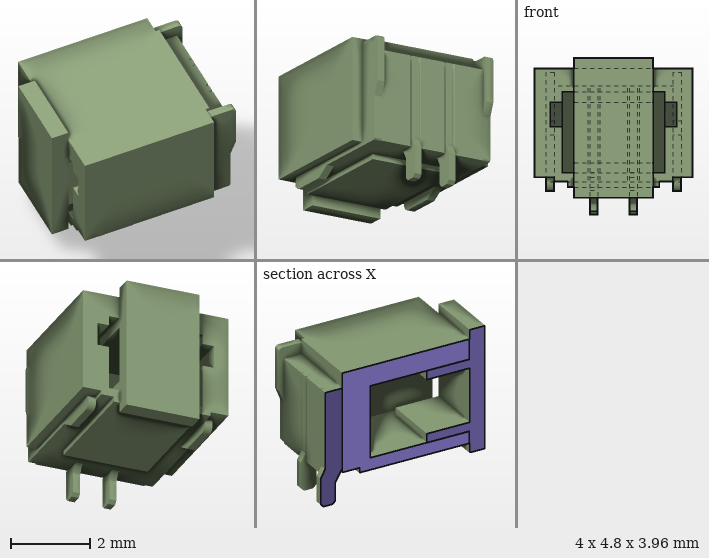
import cadquery as cq
import math


shell_width = 4.0
shell_depth = 3.6
shell_bottom = 0.94
shell_top = 3.695
core_width = 2.995
core_depth = 3.7
core_bottom = 0.835
ledge_back = 4.2
ledge_top = 3.265
rib_width = 2.315
rib_depth = 3.2
rib_bottom = 0.695

cavity_width = 2.59
cavity_bottom = 1.055
cavity_top = 3.1
cavity_depth = 2.88
notch_width = 3.205
notch_depth = 1.92
notch_bottom = 2.22
notch_top = 2.84

pin_pitch = 1.0
pin_width = 0.195
pin_positions = [-pin_pitch / 2, pin_pitch / 2]
pin_front = core_depth
pin_top = ledge_top
tail_front = 3.89
tail_back = 4.335
tail_front_knee = 0.625
tail_back_knee = 0.83
leg_front_knee = 0.945
leg_back_knee = 1.07
tip_chamfer = 0.09
lead_in_width = 0.05
lead_in_depth = 0.1

nail_width = 0.21
nail_back = 4.345
nail_top = 3.595
nail_corner_radius = 0.095
nail_foot_radius = 0.065
nail_step_top = 2.375
nail_step_bottom = 2.015
foot_bottom = 0.595
foot_end = 0.335
foot_radius = 0.195
foot_taper_start = 1.875
foot_taper_end = 1.465

cap_width = 2.0
cap_thickness = 0.455
cap_bottom = 0.425
cap_top = 3.96
tongue_length = 1.245
tongue_thickness = 0.255


def block(width, y_min, y_max, z_min, z_max):
    """Box centred on X = 0 between the given Y and Z limits."""
    return (
        cq.Workplane("XY")
        .box(width, y_max - y_min, z_max - z_min, centered=(True, False, False))
        .translate((0, y_min, z_min))
    )


def pin_slot(x):
    """Slot through the ledge for one pin, flared towards the back."""
    half_slot = pin_width / 2
    half_mouth = half_slot + lead_in_width
    flare_start = ledge_back - lead_in_depth
    return (
        cq.Workplane("XY")
        .workplane(offset=core_bottom)
        .moveTo(x - half_slot, pin_front)
        .lineTo(x - half_slot, flare_start)
        .lineTo(x - half_mouth, ledge_back)
        .lineTo(x + half_mouth, ledge_back)
        .lineTo(x + half_slot, flare_start)
        .lineTo(x + half_slot, pin_front)
        .close()
        .extrude(ledge_top - core_bottom)
    )


def make_housing():
    shell = block(shell_width, 0, shell_depth, shell_bottom, shell_top)
    core = block(core_width, 0, core_depth, core_bottom, shell_top)
    ledge = block(core_width, 0, ledge_back, core_bottom, ledge_top)
    rib = block(rib_width, 0, rib_depth, rib_bottom, core_bottom)
    body = shell.union(core).union(ledge).union(rib)

    cavity = block(cavity_width, 0, cavity_depth, cavity_bottom, cavity_top)
    notches = block(notch_width, 0, notch_depth, notch_bottom, notch_top)
    body = body.cut(cavity).cut(notches)

    for x in pin_positions:
        body = body.cut(pin_slot(x))
    return body


def make_pin(x):
    """Upright leg filling its slot, with a cranked solder tail below."""
    return (
        cq.Workplane("YZ")
        .workplane(offset=x - pin_width / 2)
        .moveTo(pin_front, pin_top)
        .lineTo(pin_front, leg_front_knee)
        .lineTo(tail_front, tail_front_knee)
        .lineTo(tail_front, tip_chamfer)
        .lineTo(tail_front + tip_chamfer, 0)
        .lineTo(tail_back - tip_chamfer, 0)
        .lineTo(tail_back, tip_chamfer)
        .lineTo(tail_back, tail_back_knee)
        .lineTo(ledge_back, leg_back_knee)
        .lineTo(ledge_back, pin_top)
        .close()
        .extrude(pin_width)
    )


def make_nail(x_min):
    """Flat L: an upright behind the shell and a foot running forward below it."""
    foot_centre_y = foot_end + foot_radius
    foot_centre_z = foot_bottom + foot_radius
    foot_top_y = foot_centre_y - math.sqrt(foot_radius**2 - (shell_bottom - foot_centre_z) ** 2)
    nail = (
        cq.Workplane("YZ")
        .workplane(offset=x_min)
        .moveTo(shell_depth, shell_bottom)
        .lineTo(foot_top_y, shell_bottom)
        .threePointArc((foot_end, foot_centre_z), (foot_centre_y, foot_bottom))
        .lineTo(foot_taper_end, foot_bottom)
        .lineTo(foot_taper_start, core_bottom)
        .lineTo(ledge_back, core_bottom)
        .lineTo(ledge_back, nail_step_bottom)
        .lineTo(nail_back, nail_step_top)
        .lineTo(nail_back, nail_top)
        .lineTo(shell_depth, nail_top)
        .close()
        .extrude(nail_width)
    )
    bottom_corner = cq.selectors.NearestToPointSelector((x_min + nail_width / 2, ledge_back, core_bottom))
    nail = nail.edges("|X").edges(">Z").fillet(nail_corner_radius)
    return nail.edges("|X").edges(bottom_corner).fillet(nail_foot_radius)


def make_cap():
    """Plate over the mating face with two tongues along the floor and roof of the cavity."""
    plate = block(cap_width, -cap_thickness, 0, cap_bottom, cap_top)
    lower_tongue = block(cap_width, 0, tongue_length, cavity_bottom, cavity_bottom + tongue_thickness)
    upper_tongue = block(cap_width, 0, tongue_length, cavity_top - tongue_thickness, cavity_top)
    return plate.union(lower_tongue).union(upper_tongue)


housing = make_housing()
cap = make_cap()
pins = [make_pin(x) for x in pin_positions]
nails = [make_nail(x) for x in (-core_width / 2 - nail_width, core_width / 2)]

result = cq.Compound.makeCompound(
    [housing.val(), cap.val(), *[pin.val() for pin in pins], *[nail.val() for nail in nails]]
)